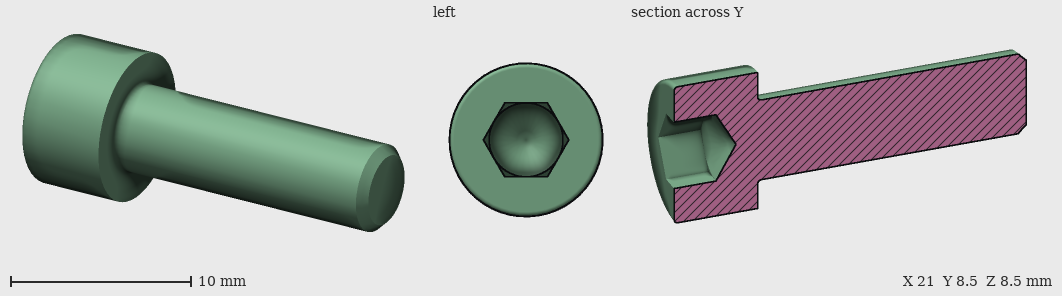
import cadquery as cq
import math

total_length = 21.0
head_diameter = 8.5
head_length = 5.0
shank_diameter = 5.0
rim_fillet = 0.25
neck_fillet = 0.2
tip_chamfer = 0.5
socket_across_flats = 4.1
socket_depth = 2.5
socket_cone_angle = 120.0


def revolved_body():
    """Head and shank, revolved from one half section about the X axis."""
    head_radius = head_diameter / 2
    shank_radius = shank_diameter / 2
    diagonal = math.sqrt(0.5)
    rim_inset = rim_fillet * (1 - diagonal)
    neck_inset = neck_fillet * (1 - diagonal)
    section = (
        cq.Workplane("XY")
        .lineTo(0, head_radius - rim_fillet)
        .threePointArc((rim_inset, head_radius - rim_inset), (rim_fillet, head_radius))
        .lineTo(head_length, head_radius)
        .lineTo(head_length, shank_radius + neck_fillet)
        .threePointArc(
            (head_length + neck_inset, shank_radius + neck_inset),
            (head_length + neck_fillet, shank_radius),
        )
        .lineTo(total_length - tip_chamfer, shank_radius)
        .lineTo(total_length, shank_radius - tip_chamfer)
        .lineTo(total_length, 0)
        .close()
    )
    return section.revolve(360, (0, 0, 0), (1, 0, 0))


def hex_socket():
    """Hexagonal prism with corners on the Y axis."""
    across_corners = socket_across_flats / math.cos(math.radians(30))
    return cq.Workplane("YZ").polygon(6, across_corners).extrude(socket_depth)


def socket_cone():
    """Conical floor whose base circle touches the socket flats."""
    cone_radius = socket_across_flats / 2
    cone_depth = cone_radius / math.tan(math.radians(socket_cone_angle / 2))
    return (
        cq.Workplane("XY")
        .moveTo(socket_depth, 0)
        .lineTo(socket_depth, cone_radius)
        .lineTo(socket_depth + cone_depth, 0)
        .close()
        .revolve(360, (0, 0, 0), (1, 0, 0))
    )


result = revolved_body().cut(hex_socket()).cut(socket_cone())